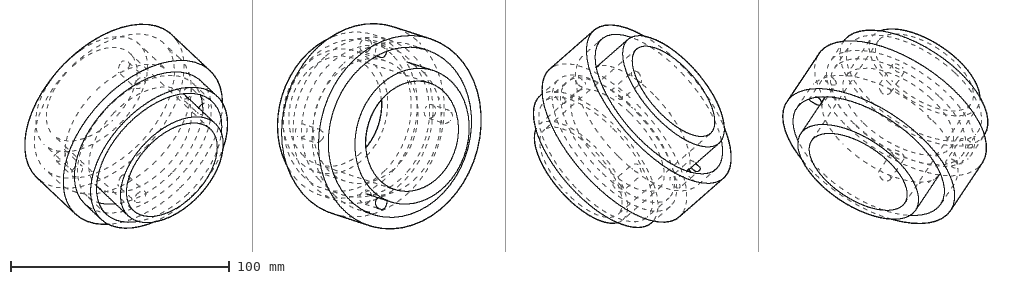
import cadquery as cq

total_length = 62.5
rim_start = 9.9
rim_end = 39.9
collar_end = 52.6

rim_diameter = 89.9
collar_diameter = 77.3
left_hub_diameter = 63.1
right_hub_diameter = 58.0
bore_diameter = 51.25

left_groove_diameter = 79.1
left_groove_floor = 25.0
groove_fillet = 3.0

right_groove_diameter = 70.7
right_groove_floor = 37.8

hole_count = 4
hole_diameter = 6.4
hole_circle_diameter = (left_groove_diameter + left_hub_diameter) / 2
hole_end = right_groove_floor


def cylinder(diameter, start, end):
    """Solid cylinder on the X axis between two axial positions."""
    return cq.Workplane("YZ", origin=(start, 0, 0)).circle(diameter / 2).extrude(end - start)


def ring(outer_diameter, inner_diameter, start, end):
    """Annular solid on the X axis between two axial positions."""
    return cylinder(outer_diameter, start, end).cut(cylinder(inner_diameter, start, end))


body = (
    cylinder(left_hub_diameter, 0, rim_end)
    .union(cylinder(rim_diameter, rim_start, rim_end))
    .union(cylinder(collar_diameter, rim_end, collar_end))
    .union(cylinder(right_hub_diameter, collar_end, total_length))
)

left_groove = ring(left_groove_diameter, left_hub_diameter, rim_start, left_groove_floor)
left_groove = left_groove.faces(">X").edges().fillet(groove_fillet)
right_groove = ring(right_groove_diameter, right_hub_diameter, right_groove_floor, collar_end)
body = body.cut(left_groove).cut(right_groove)

holes = (
    cq.Workplane("YZ", origin=(rim_start, 0, 0))
    .polarArray(hole_circle_diameter / 2, 0, 360, hole_count)
    .circle(hole_diameter / 2)
    .extrude(hole_end - rim_start)
)
body = body.cut(holes)

result = body.cut(cylinder(bore_diameter, 0, total_length))